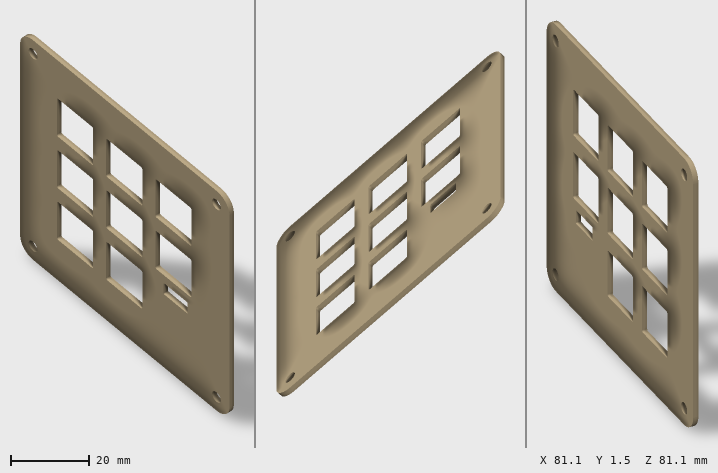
import cadquery as cq

plate_size = 81.1
plate_thickness = 1.5
corner_radius = 5.0

mount_hole_diameter = 3.4
mount_hole_spacing = plate_size - 2 * corner_radius

key_size = 14.0
key_corner_radius = 0.5
key_pitch = 19.05
key_grid_center_x = -0.2
key_grid_center_z = 0.45
grid_steps = (-1, 0, 1)
empty_cell = (1, -1)

window_width = 9.3
window_height = 4.1
window_corner_radius = 0.3
window_center_x = 19.7
window_center_z = -11.5


def rounded_block(width, height, radius, center_x=0, center_z=0):
    """Block through the plate thickness with rounded edges along Y."""
    block = cq.Workplane("XY").box(width, plate_thickness, height)
    return block.edges("|Y").fillet(radius).translate((center_x, 0, center_z))


def cut_mount_holes(plate):
    return (
        plate.faces("<Y")
        .workplane(centerOption="CenterOfBoundBox")
        .rect(mount_hole_spacing, mount_hole_spacing, forConstruction=True)
        .vertices()
        .hole(mount_hole_diameter)
    )


def cut_key_openings(plate):
    for column in grid_steps:
        for row in grid_steps:
            if (column, row) == empty_cell:
                continue
            center_x = key_grid_center_x + column * key_pitch
            center_z = key_grid_center_z + row * key_pitch
            opening = rounded_block(key_size, key_size, key_corner_radius, center_x, center_z)
            plate = plate.cut(opening)
    return plate


def cut_window(plate):
    window = rounded_block(
        window_width, window_height, window_corner_radius, window_center_x, window_center_z
    )
    return plate.cut(window)


result = rounded_block(plate_size, plate_size, corner_radius)
result = cut_mount_holes(result)
result = cut_key_openings(result)
result = cut_window(result)